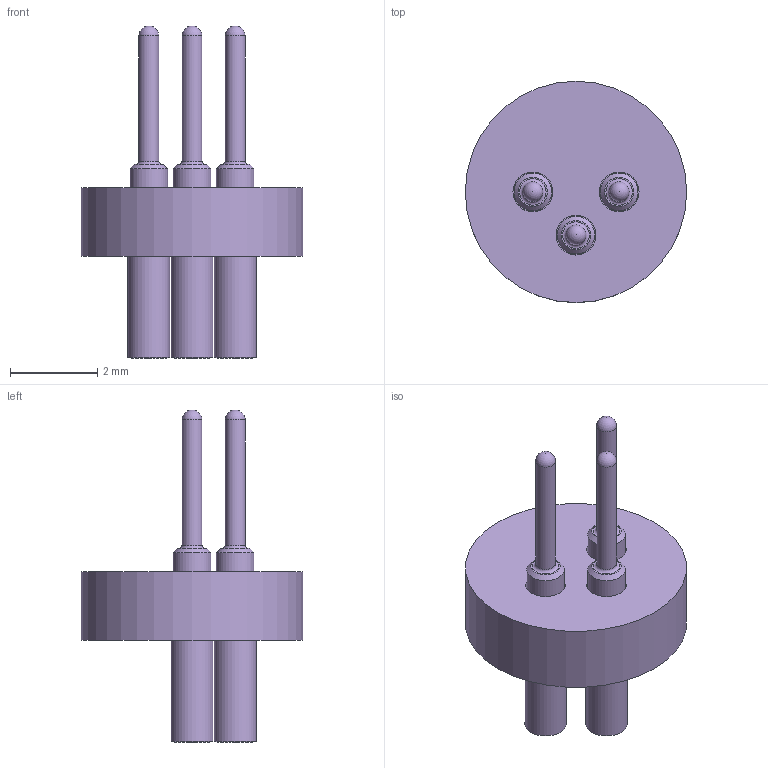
import cadquery as cq
import math

base_diameter = 5.08
base_thickness = 1.575
hole_clearance = 0.025

total_height = 7.62
pin_bottom = -2.337
pin_top = pin_bottom + total_height
pin_offset = 0.9906
pin_places = [(-pin_offset, 0), (pin_offset, 0), (0, -pin_offset)]

barrel_radius = 0.958 / 2
collar_radius = 0.864 / 2
shaft_radius = 0.458 / 2

collar_straight_height = 0.432
shoulder_chamfer_width = 0.097
shoulder_chamfer_height = 0.1
neck_fillet_radius = 0.075
end_bevel_width = 0.08
end_bevel_height = 0.012


def pin_blank():
    """One stepped contact pin on the Z axis, made by revolving half of its outline."""
    diagonal = math.sqrt(0.5)
    shoulder_start = base_thickness + collar_straight_height
    shoulder_top = shoulder_start + shoulder_chamfer_height
    shaft_start = shoulder_top + neck_fillet_radius
    dome_start = pin_top - shaft_radius

    fillet_center = shaft_radius + neck_fillet_radius
    fillet_middle = (
        fillet_center - neck_fillet_radius * diagonal,
        shaft_start - neck_fillet_radius * diagonal,
    )
    dome_middle = (shaft_radius * diagonal, dome_start + shaft_radius * diagonal)

    outline = (
        cq.Workplane("XZ")
        .moveTo(0, pin_bottom)
        .lineTo(barrel_radius - end_bevel_width, pin_bottom)
        .lineTo(barrel_radius, pin_bottom + end_bevel_height)
        .lineTo(barrel_radius, 0)
        .lineTo(collar_radius, 0)
        .lineTo(collar_radius, shoulder_start)
        .lineTo(collar_radius - shoulder_chamfer_width, shoulder_top)
        .lineTo(fillet_center, shoulder_top)
        .threePointArc(fillet_middle, (shaft_radius, shaft_start))
        .lineTo(shaft_radius, dome_start)
        .threePointArc(dome_middle, (0, pin_top))
        .close()
    )
    return outline.revolve(360, (0, 0, 0), (0, 1, 0))


def base_plate():
    """Round plate with a through hole, slightly wider than the collar, for each pin."""
    hole_radius = collar_radius + hole_clearance
    plate = cq.Workplane("XY").circle(base_diameter / 2).extrude(base_thickness)
    holes = cq.Workplane("XY").pushPoints(pin_places).circle(hole_radius).extrude(base_thickness)
    return plate.cut(holes)


base = base_plate()
blank = pin_blank()
pins = [blank.translate((x, y, 0)) for x, y in pin_places]

result = cq.Compound.makeCompound([base.val(), *[pin.val() for pin in pins]])